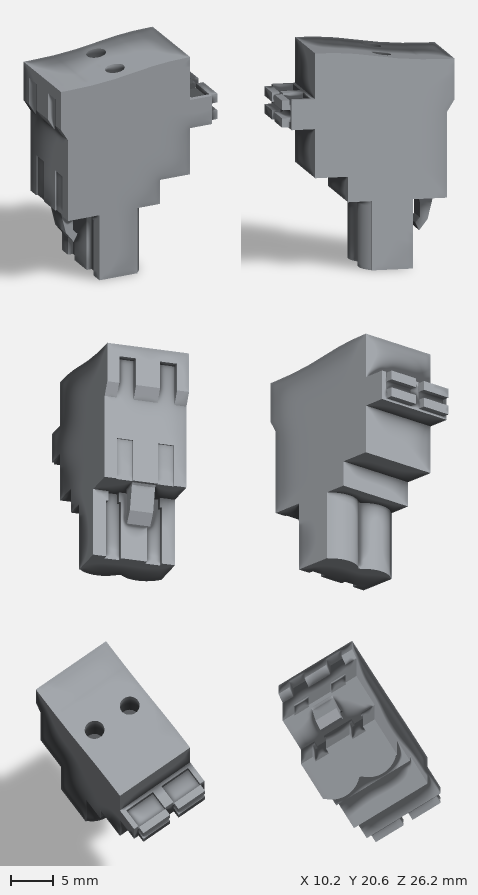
import cadquery as cq
import math


pole_pitch = 5.08
pole_count = 2
housing_width = pole_pitch * pole_count
pole_positions = [(i - (pole_count - 1) / 2) * pole_pitch for i in range(pole_count)]

brow_depth = 0.93
plug_front = 5.0
plug_back = 9.97
foot_back = 12.84
housing_back = 16.79
ledge_back = 19.63

total_height = 26.24
foot_bottom = 8.28
step_bottom = 11.33
ledge_bottom = 17.2
ledge_top = 20.78
brow_bottom = 18.5
brow_edge = 20.0

crown_start = 16.42
inflection = 9.82
hollow_end = brow_depth
top_slope = math.radians(10.17)
crown_radius = (crown_start - inflection) / math.sin(top_slope)
hollow_radius = (inflection - hollow_end) / math.sin(top_slope)
front_top = total_height - (crown_start - hollow_end) * math.tan(top_slope / 2)

rib_bulge = 1.03
rib_half_width = 2.4

hole_diameter = 2.32
hole_y = 8.22
hole_depth = 5.0

brow_slot_width = 2.1
brow_slot_top = 23.36
panel_width = 2.02
panel_top = 13.37
panel_depth = 0.2
plug_slot_width = 1.83
plug_slot_top = 7.06
plug_slot_neck_width = 1.3
plug_slot_depth = 0.65

hook_width = 2.88
hook_root_front = 1.43
hook_shoulder_front = 1.66
hook_shoulder_z = 8.05
hook_heel_y = 2.38
hook_heel_z = 5.1
hook_tip_y = 3.4
hook_tip_z = 3.8
hook_barb_y = 3.88
hook_barb_z = 4.74
hook_stem_back = 3.31
hook_catch_z = 5.33
hook_flare_z = 7.19
hook_root_back = 3.7

lever_width = 3.85
lever_front = 17.21
lever_back = 20.64
lip_front = 19.72
lip_top = 20.65
lip_bottom = 17.43
lever_body_top = 20.07
lever_body_bottom = 18.1
notch_height = 1.0
notch_center_z = (lip_top + lip_bottom) / 2
notch_center_y = 19.9


def block(x_center, width, y_min, y_max, z_min, z_max):
    """Box of the given width centred on x_center."""
    size = (width, y_max - y_min, z_max - z_min)
    center = (x_center, (y_min + y_max) / 2, (z_min + z_max) / 2)
    return cq.Workplane("XY").box(*size).translate(center)


def crown_point(y):
    """Point on the convex rear arc of the top."""
    drop = crown_radius - math.sqrt(crown_radius**2 - (crown_start - y) ** 2)
    return (y, total_height - drop)


def hollow_point(y):
    """Point on the concave front arc of the top."""
    rise = hollow_radius - math.sqrt(hollow_radius**2 - (y - hollow_end) ** 2)
    return (y, front_top + rise)


def make_shell():
    """Side profile of the housing, extruded over its full width."""
    profile = (
        cq.Workplane("YZ")
        .moveTo(plug_front, 0)
        .lineTo(plug_back, 0)
        .lineTo(plug_back, foot_bottom)
        .lineTo(foot_back, foot_bottom)
        .lineTo(foot_back, step_bottom)
        .lineTo(housing_back, step_bottom)
        .lineTo(housing_back, ledge_bottom)
        .lineTo(ledge_back, ledge_bottom)
        .lineTo(ledge_back, ledge_top)
        .lineTo(housing_back, ledge_top)
        .lineTo(housing_back, total_height)
        .lineTo(crown_start, total_height)
        .threePointArc(crown_point((crown_start + inflection) / 2), crown_point(inflection))
        .threePointArc(hollow_point((inflection + hollow_end) / 2), (hollow_end, front_top))
        .lineTo(0, front_top)
        .lineTo(0, brow_edge)
        .lineTo(brow_depth, brow_bottom)
        .lineTo(brow_depth, foot_bottom)
        .lineTo(plug_front, foot_bottom)
        .close()
    )
    return profile.extrude(housing_width / 2, both=True)


def make_plug_rib(x):
    """Rounded rib on the back of the plug, one per pole."""
    return (
        cq.Workplane("XY")
        .moveTo(x - rib_half_width, plug_back)
        .threePointArc((x, plug_back + rib_bulge), (x + rib_half_width, plug_back))
        .close()
        .extrude(foot_bottom)
    )


def make_hook():
    """Latch hook that hangs from the underside of the housing, barb facing the plug."""
    outline = [
        (hook_root_front, foot_bottom),
        (hook_shoulder_front, hook_shoulder_z),
        (hook_heel_y, hook_heel_z),
        (hook_tip_y, hook_tip_z),
        (hook_barb_y, hook_barb_z),
        (hook_stem_back, hook_catch_z),
        (hook_stem_back, hook_flare_z),
        (hook_root_back, foot_bottom),
    ]
    return cq.Workplane("YZ").polyline(outline).close().extrude(hook_width / 2, both=True)


def make_pole_cuts(x):
    """Everything removed from the housing at one pole."""
    hole_floor = hollow_point(hole_y)[1] - hole_depth
    hole = (
        cq.Workplane("XY", origin=(x, hole_y, hole_floor))
        .circle(hole_diameter / 2)
        .extrude(total_height - hole_floor)
    )
    plug_slot_floor = plug_front + plug_slot_depth
    return [
        hole,
        block(x, brow_slot_width, 0, brow_depth, brow_bottom, brow_slot_top),
        block(x, panel_width, brow_depth, brow_depth + panel_depth, foot_bottom, panel_top),
        block(x, plug_slot_width, plug_front, plug_slot_floor, 0, plug_slot_top),
        block(x, plug_slot_neck_width, plug_front, plug_slot_floor, plug_slot_top, foot_bottom),
        block(x, lever_width, lever_front, ledge_back, lever_body_bottom, ledge_top),
    ]


def make_housing():
    body = make_shell().union(make_hook())
    for x in pole_positions:
        body = body.union(make_plug_rib(x))
    for x in pole_positions:
        for cut in make_pole_cuts(x):
            body = body.cut(cut)
    return body


def make_lever(x):
    """Push lever: a bar lying in the ledge pocket with a notched lip behind the ledge."""
    bar = block(x, lever_width, lever_front, lip_front, lever_body_bottom, lever_body_top)
    lip = block(x, lever_width, lip_front, lever_back, lip_bottom, lip_top)
    notch_bottom = notch_center_z - notch_height / 2
    notch_top = notch_center_z + notch_height / 2
    notch = block(x, lever_width, notch_center_y, lever_back, notch_bottom, notch_top)
    notch_end = (
        cq.Workplane("YZ", origin=(x, notch_center_y, notch_center_z))
        .circle(notch_height / 2)
        .extrude(lever_width / 2, both=True)
    )
    return bar.union(lip).cut(notch).cut(notch_end)


housing = make_housing()
levers = [make_lever(x) for x in pole_positions]

result = cq.Compound.makeCompound([housing.val(), *[lever.val() for lever in levers]])